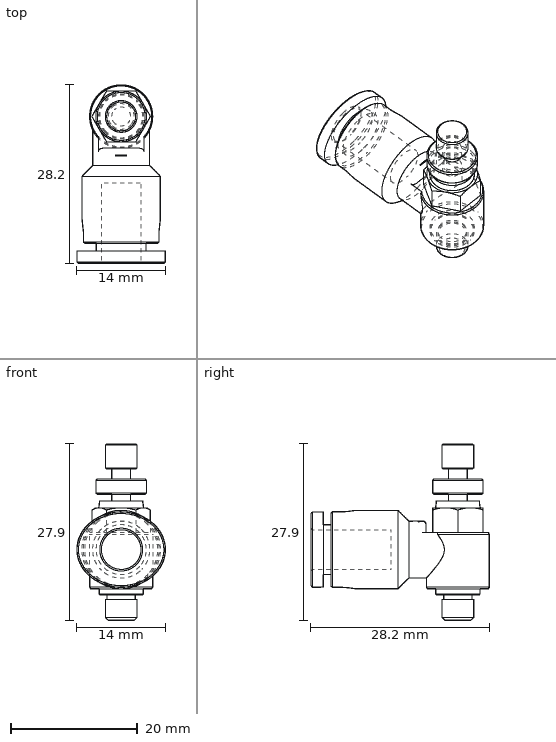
import cadquery as cq
import math


body_radius = 5.0
body_top = 2.7
body_bottom = -6.2
body_edge_height = 0.3
body_edge_width = 0.17

foot_flange_radius = 3.5
foot_flange_bottom = -7.15
foot_neck_radius = 2.25
foot_neck_bottom = -7.87
thread_radius = 2.5
thread_bottom = -11.2
thread_chamfer = 0.48

hex_flats = 8.0
hex_top = 6.6
hex_bevel_angle = 30

collar_base_radius = 3.55
collar_top_radius = 3.4
collar_top = 7.7
stem_radius = 1.5
nut_radius = 4.0
nut_bottom = 8.7
nut_top = 11.17
knob_radius = 2.5
knob_bottom = 12.7
knob_top = 16.7
small_chamfer = 0.23

branch_radius = 4.5
shoulder_start = 5.02
shoulder_round = 0.54
branch_end = 7.73
barrel_start = 9.45
barrel_radius = 6.2
taper_start = 16.2
taper_end = 18.3
barrel_end_radius = 5.98
barrel_end = 20.05
release_neck_radius = 3.95
release_start = 21.23
socket_end = 28.2 - body_radius
release_half_width = 7.0
release_half_height = 5.95
release_chamfer = 0.25

bore_radius = 3.13
bore_depth = 12.7
bore_chamfer = 0.25

mark_position = 6.18
mark_length = 0.1
mark_depth = 0.08


def vertical_cylinder(radius, bottom, top):
    return cq.Workplane("XY").workplane(offset=bottom).circle(radius).extrude(top - bottom)


def socket_plane(distance):
    """Plane facing -Y at the given distance from the spindle axis."""
    return cq.Workplane("XZ", origin=(0, -distance, 0))


def make_body():
    edge_radius = body_radius - body_edge_width
    profile = [
        (0, body_bottom),
        (edge_radius, body_bottom),
        (body_radius, body_bottom + body_edge_height),
        (body_radius, body_top - body_edge_height),
        (edge_radius, body_top),
        (0, body_top),
    ]
    return cq.Workplane("XZ").polyline(profile).close().revolve(360, (0, 0), (0, 1))


def make_foot():
    flange = vertical_cylinder(foot_flange_radius, foot_flange_bottom, body_bottom)
    flange = flange.faces("<Z").chamfer(small_chamfer / 2)
    neck = vertical_cylinder(foot_neck_radius, foot_neck_bottom, foot_flange_bottom)
    thread = vertical_cylinder(thread_radius, thread_bottom, foot_neck_bottom)
    thread = thread.faces("<Z").chamfer(thread_chamfer)
    return flange.union(neck).union(thread)


def make_hexagon():
    corner_radius = hex_flats / math.sqrt(3)
    flat_radius = hex_flats / 2
    bevel_drop = (corner_radius - flat_radius) * math.tan(math.radians(hex_bevel_angle))
    prism = (
        cq.Workplane("XY")
        .workplane(offset=body_top)
        .polygon(6, 2 * corner_radius)
        .extrude(hex_top - body_top)
    )
    bevel_profile = [
        (0, body_top),
        (corner_radius, body_top),
        (corner_radius, hex_top - bevel_drop),
        (flat_radius, hex_top),
        (0, hex_top),
    ]
    envelope = cq.Workplane("XZ").polyline(bevel_profile).close().revolve(360, (0, 0), (0, 1))
    return prism.intersect(envelope)


def make_spindle():
    collar = (
        cq.Workplane("XY")
        .workplane(offset=hex_top)
        .circle(collar_base_radius)
        .workplane(offset=collar_top - hex_top)
        .circle(collar_top_radius)
        .loft()
    )
    stem = vertical_cylinder(stem_radius, hex_top, knob_bottom)
    nut = vertical_cylinder(nut_radius, nut_bottom, nut_top).faces("<Z or >Z").chamfer(small_chamfer)
    knob = vertical_cylinder(knob_radius, knob_bottom, knob_top).faces("<Z or >Z").chamfer(small_chamfer)
    return collar.union(stem).union(nut).union(knob)


def make_branch():
    upper = socket_plane(shoulder_start).circle(branch_radius).extrude(branch_end - shoulder_start)
    upper = upper.faces(">Y").edges().fillet(shoulder_round)
    mark = cq.Workplane("XY").box(2 * branch_radius, mark_length, branch_radius, centered=(True, True, False))
    upper = upper.cut(mark.translate((0, -mark_position, branch_radius - mark_depth)))
    lower = socket_plane(0).circle(branch_radius).extrude(branch_end)
    above_body = vertical_cylinder(2 * branch_end, body_top, body_top + branch_radius)
    return upper.union(lower.cut(above_body))


def make_barrel():
    profile = [
        (0, -branch_end),
        (branch_radius, -branch_end),
        (barrel_radius, -barrel_start),
        (barrel_radius, -taper_start),
        (barrel_end_radius, -taper_end),
        (barrel_end_radius, -(barrel_end - small_chamfer)),
        (barrel_end_radius - small_chamfer, -barrel_end),
        (release_neck_radius, -barrel_end),
        (release_neck_radius, -release_start),
        (0, -release_start),
    ]
    return cq.Workplane("XY").polyline(profile).close().revolve(360, (0, 0), (0, 1))


def make_release_ring():
    ring = (
        socket_plane(release_start)
        .ellipse(release_half_width, release_half_height)
        .extrude(socket_end - release_start)
    )
    return ring.faces("<Y").chamfer(release_chamfer)


def make_bore():
    bottom = socket_end - bore_depth
    profile = [
        (0, -bottom),
        (bore_radius, -bottom),
        (bore_radius, -(socket_end - bore_chamfer)),
        (bore_radius + bore_chamfer, -socket_end),
        (0, -socket_end),
    ]
    return cq.Workplane("XY").polyline(profile).close().revolve(360, (0, 0), (0, 1))


result = make_body()
for component in (
    make_foot(),
    make_hexagon(),
    make_spindle(),
    make_branch(),
    make_barrel(),
    make_release_ring(),
):
    result = result.union(component)
result = result.cut(make_bore())